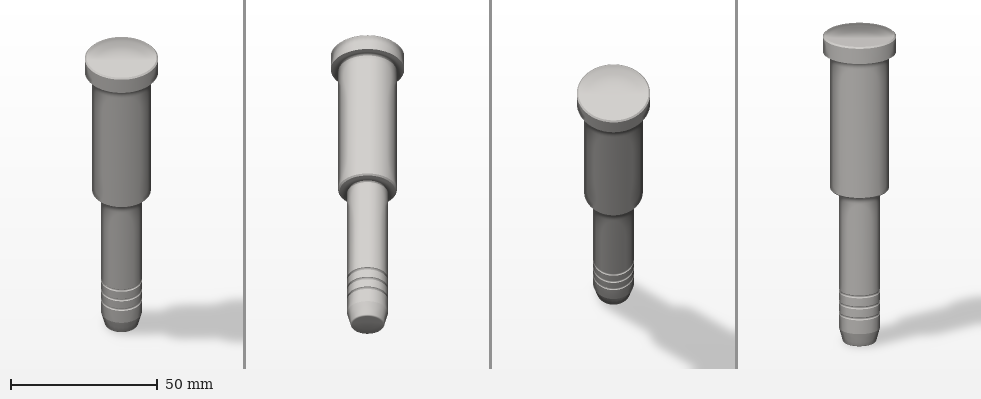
import cadquery as cq
import math

head_diameter = 25.0
head_height = 6.0
shank_diameter = 20.0
shank_length = 50.0
stem_diameter = 14.0
stem_length = 55.0

head_chamfer = 0.5
shank_chamfer = 0.51

groove_radius = 0.5
ring_count = 3
ring_pitch = 4.0
top_ring_above_tip = 18.5

neck_width = 1.0
neck_depth = 0.5

taper_length = 5.0
taper_angle = math.radians(15)
tip_fillet = 0.5

head_radius = head_diameter / 2
shank_radius = shank_diameter / 2
stem_radius = stem_diameter / 2
shank_end_z = -shank_length
tip_z = shank_end_z - stem_length
neck_end_z = shank_end_z - neck_width
neck_radius = stem_radius - neck_depth
tip_radius = stem_radius - taper_length * math.tan(taper_angle)
tip_tangent = tip_fillet * math.tan((math.pi / 2 - taper_angle) / 2)


def add_groove(profile, radius, center_z):
    """Continue a downward profile through a half-round groove, as two quarter arcs."""
    diagonal = groove_radius * math.sqrt(0.5)
    floor = (radius - groove_radius, center_z)
    return (
        profile.lineTo(radius, center_z + groove_radius)
        .threePointArc((radius - diagonal, center_z + diagonal), floor)
        .threePointArc((radius - diagonal, center_z - diagonal), (radius, center_z - groove_radius))
    )


def add_head(profile):
    """Head with a chamfered top edge, ending at the outer edge of its underside."""
    return (
        profile.lineTo(head_radius - head_chamfer, head_height)
        .lineTo(head_radius, head_height - head_chamfer)
        .lineTo(head_radius, 0)
    )


def add_shank(profile):
    """Shank with a groove right under the head and a chamfered lower edge."""
    profile = add_groove(profile, shank_radius, -groove_radius)
    return (
        profile.lineTo(shank_radius, shank_end_z + shank_chamfer)
        .lineTo(shank_radius - shank_chamfer, shank_end_z)
    )


def add_stem(profile):
    """Stem with a square neck relief, a row of ring grooves and a round-edged conical tip."""
    profile = (
        profile.lineTo(neck_radius, shank_end_z)
        .lineTo(neck_radius, neck_end_z)
        .lineTo(stem_radius, neck_end_z)
    )
    for index in range(ring_count):
        profile = add_groove(profile, stem_radius, tip_z + top_ring_above_tip - index * ring_pitch)
    arc_start = (
        tip_radius + tip_tangent * math.sin(taper_angle),
        tip_z + tip_tangent * math.cos(taper_angle),
    )
    return (
        profile.lineTo(stem_radius, tip_z + taper_length)
        .lineTo(*arc_start)
        .tangentArcPoint((tip_radius - tip_tangent, tip_z), relative=False)
        .lineTo(0, tip_z)
    )


outline = cq.Workplane("XZ").moveTo(0, head_height)
outline = add_head(outline)
outline = add_shank(outline)
outline = add_stem(outline)

result = outline.close().revolve(360, (0, 0, 0), (0, 1, 0), clean=False)